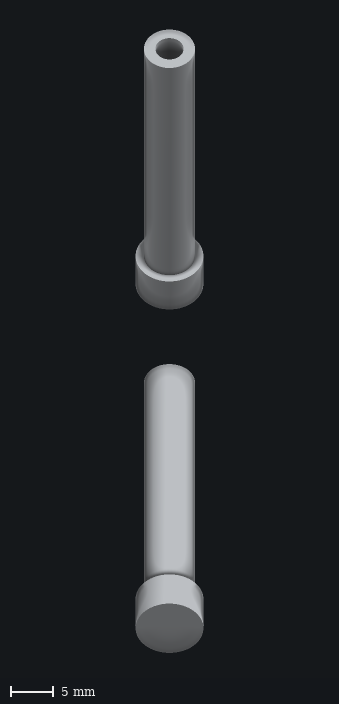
import cadquery as cq
import math

total_length = 42.0
head_diameter = 8.0
head_height = 5.0
shank_diameter = 6.0

hole_diameter = 3.3
hole_depth = 10.0
drill_point_angle = 118.0


def make_pin():
    head = cq.Workplane("XY").circle(head_diameter / 2).extrude(head_height)
    shank = cq.Workplane("XY").circle(shank_diameter / 2).extrude(total_length)
    return head.union(shank)


def make_drilled_hole():
    """Solid to remove for the hole, revolved about the pin axis."""
    radius = hole_diameter / 2
    point_height = radius / math.tan(math.radians(drill_point_angle / 2))
    shoulder_z = total_length - hole_depth
    profile = (
        cq.Workplane("XZ")
        .moveTo(0, total_length)
        .lineTo(radius, total_length)
        .lineTo(radius, shoulder_z)
        .lineTo(0, shoulder_z - point_height)
        .close()
    )
    return profile.revolve(360, (0, 0, 0), (0, 1, 0))


result = make_pin().cut(make_drilled_hole())